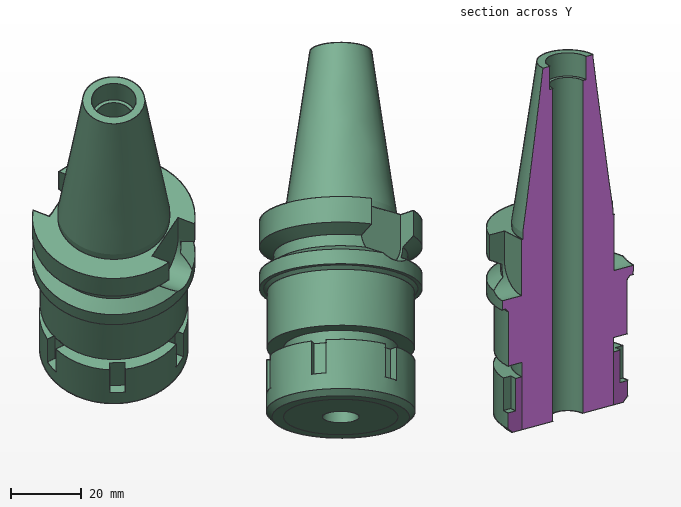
import cadquery as cq
import math


overall_length = 108.4
gauge_depth = 48.3
flange_top_depth = 50.4
flange_bottom_depth = 70.4
shoulder_height = 1.0
body_bottom_depth = 87.9
nut_top_depth = 92.1

taper_ratio = 7 / 24
gauge_radius = 15.8
taper_tip_radius = gauge_radius - gauge_depth * taper_ratio / 2
flange_radius = 23.0
shoulder_radius = 21.8
body_radius = 20.8
neck_radius = 16.2

groove_top_depth = 58.0
groove_bottom_depth = 66.0
groove_radius = 19.0
groove_side_angle = 30

drawbar_radius = 6.3
drawbar_depth = 7.0
through_radius = 5.2

drive_slot_width = 16.0
drive_slot_floor = 16.3
drive_slot_length = 17.0

nut_radius = 21.0
nut_chamfer = 1.6
wrench_slot_count = 6
wrench_slot_width = 4.3
wrench_slot_floor = 18.3
wrench_slot_length = 9.9


def cylinder(radius, top_depth, bottom_depth):
    base = cq.Workplane("XY", origin=(0, 0, -bottom_depth))
    return base.circle(radius).extrude(bottom_depth - top_depth)


def turned_blank():
    groove_drop = (flange_radius - groove_radius) * math.tan(math.radians(groove_side_angle))
    profile = [
        (0, 0),
        (taper_tip_radius, 0),
        (gauge_radius, -gauge_depth),
        (gauge_radius, -flange_top_depth),
        (flange_radius, -flange_top_depth),
        (flange_radius, -groove_top_depth),
        (groove_radius, -groove_top_depth - groove_drop),
        (groove_radius, -groove_bottom_depth + groove_drop),
        (flange_radius, -groove_bottom_depth),
        (flange_radius, -flange_bottom_depth),
        (shoulder_radius, -flange_bottom_depth),
        (body_radius, -flange_bottom_depth - shoulder_height),
        (body_radius, -body_bottom_depth),
        (neck_radius, -body_bottom_depth),
        (neck_radius, -overall_length),
        (0, -overall_length),
    ]
    return cq.Workplane("YZ").polyline(profile).close().revolve(360, (0, 0), (0, 1))


def drive_slot(side):
    """A slot open at the flange top with a round lower end; side is -1 or 1 along X."""
    end_radius = drive_slot_width / 2
    bottom_z = -flange_top_depth - drive_slot_length
    arc_center_z = bottom_z + end_radius
    return (
        cq.Workplane("YZ", origin=(side * drive_slot_floor, 0, 0))
        .moveTo(-end_radius, -flange_top_depth)
        .lineTo(-end_radius, arc_center_z)
        .threePointArc((0, bottom_z), (end_radius, arc_center_z))
        .lineTo(end_radius, -flange_top_depth)
        .close()
        .extrude(side * flange_radius)
    )


def make_holder():
    holder = turned_blank()
    holder = holder.cut(cylinder(drawbar_radius, 0, drawbar_depth))
    holder = holder.cut(cylinder(through_radius, 0, overall_length))
    for side in (-1, 1):
        holder = holder.cut(drive_slot(side))
    return holder


def wrench_slot(angle):
    """A slot open at the nut's top face and rim, turned about Z by the angle in degrees."""
    slot = cq.Workplane("XY", origin=(wrench_slot_floor, 0, -nut_top_depth - wrench_slot_length))
    slot = slot.box(nut_radius, wrench_slot_width, wrench_slot_length, centered=(False, True, False))
    return slot.rotate((0, 0, 0), (0, 0, 1), angle)


def make_nut():
    profile = [
        (neck_radius, -nut_top_depth),
        (nut_radius, -nut_top_depth),
        (nut_radius, -overall_length + nut_chamfer),
        (nut_radius - nut_chamfer, -overall_length),
        (neck_radius, -overall_length),
    ]
    nut = cq.Workplane("YZ").polyline(profile).close().revolve(360, (0, 0), (0, 1))
    for index in range(wrench_slot_count):
        nut = nut.cut(wrench_slot(index * 360 / wrench_slot_count))
    return nut


holder = make_holder()
nut = make_nut()

result = cq.Compound.makeCompound([holder.val(), nut.val()])